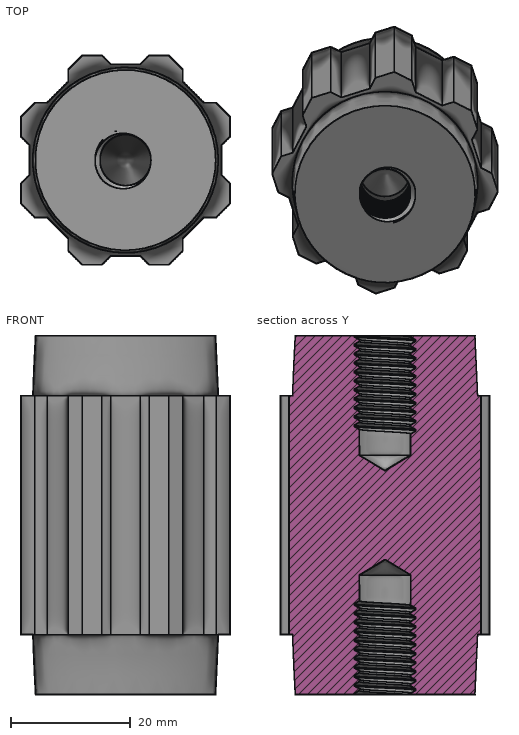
import cadquery as cq
import math

total_height = 60.0
boss_height = 10.0
body_height = total_height - 2 * boss_height

side_count = 8
across_flats = 35.0
groove_depth = 1.45
groove_floor_width = 5.0

boss_base_diameter = 31.0
boss_end_diameter = 30.1

bore_diameter = 8.5
thread_diameter = 10.2
thread_pitch = 1.5
bore_depth = 20.0
drill_tip_angle = 118.0
thread_turns = 10
thread_flank_angle = 60.0
thread_root_width = thread_pitch / 8
thread_exit_angle = 200.0
runout_turns = 1
thread_overlap = 0.1


def fluted_body():
    """Octagonal prism with a 45-degree-walled groove in the middle of every flat."""
    flat_distance = across_flats / 2
    floor_half = groove_floor_width / 2
    mouth_half = floor_half + groove_depth
    corner_half = flat_distance * math.tan(math.pi / side_count)
    flat_points = [
        (flat_distance, -mouth_half),
        (flat_distance - groove_depth, -floor_half),
        (flat_distance - groove_depth, floor_half),
        (flat_distance, mouth_half),
        (flat_distance, corner_half),
    ]
    outline = []
    for side in range(side_count):
        turn = 2 * math.pi * side / side_count
        for x, y in flat_points:
            turned_x = x * math.cos(turn) - y * math.sin(turn)
            turned_y = x * math.sin(turn) + y * math.cos(turn)
            outline.append((turned_x, turned_y))
    return (
        cq.Workplane("XY", origin=(0, 0, -body_height / 2))
        .polyline(outline)
        .close()
        .extrude(body_height)
    )


def end_boss():
    """Tapered boss on the upper end of the body."""
    taper = math.degrees(math.atan((boss_base_diameter - boss_end_diameter) / 2 / boss_height))
    return (
        cq.Workplane("XY", origin=(0, 0, body_height / 2))
        .circle(boss_base_diameter / 2)
        .extrude(boss_height, taper=taper)
    )


def blind_bore():
    """Drilled hole with a conical tip, entering from the upper end.

    Its seam line is turned to the thread exit, which keeps the thread cut reliable.
    """
    bore_radius = bore_diameter / 2
    top = total_height / 2
    bottom = top - bore_depth
    tip = bottom - bore_radius / math.tan(math.radians(drill_tip_angle / 2))
    return (
        cq.Workplane("XZ")
        .polyline([(0, top), (bore_radius, top), (bore_radius, bottom), (0, tip)])
        .close()
        .revolve(360, (0, 0, 0), (0, 1, 0))
        .rotate((0, 0, 0), (0, 0, 1), thread_exit_angle)
    )


def thread_groove():
    """Helical groove that cuts the thread into the upper bore wall and runs out through the end face."""
    root_radius = thread_diameter / 2
    bore_radius = bore_diameter / 2
    inner_radius = bore_radius - thread_overlap
    root_half = thread_root_width / 2
    flank_rise = math.tan(math.radians(thread_flank_angle / 2))
    inner_half = root_half + (root_radius - inner_radius) * flank_rise
    exit_turns = thread_exit_angle / 360
    start = total_height / 2 - (thread_turns + exit_turns) * thread_pitch
    sweep_length = (thread_turns + runout_turns) * thread_pitch
    helix = cq.Wire.makeHelix(thread_pitch, sweep_length, bore_radius, center=cq.Vector(0, 0, start))
    return (
        cq.Workplane("XZ", origin=(0, 0, start))
        .polyline([
            (inner_radius, -inner_half),
            (root_radius, -root_half),
            (root_radius, root_half),
            (inner_radius, inner_half),
        ])
        .close()
        .sweep(cq.Workplane(obj=helix), isFrenet=True)
    )


upper_boss = end_boss()
upper_bore = blind_bore()
upper_thread = thread_groove()

result = fluted_body().union(upper_boss).union(upper_boss.rotate((0, 0, 0), (1, 0, 0), 180))
for end_angle in (0, 180):
    for cutter in (upper_bore, upper_thread):
        result = result.cut(cutter.rotate((0, 0, 0), (1, 0, 0), end_angle))